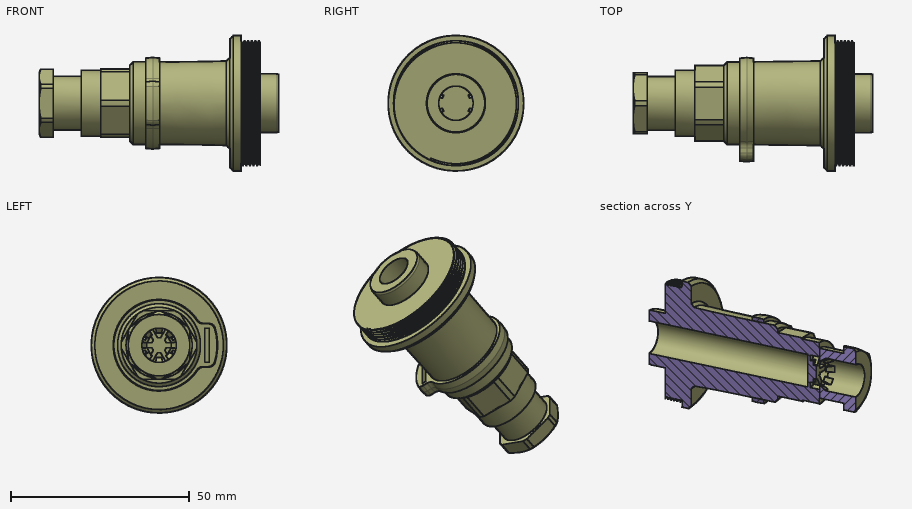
import cadquery as cq
import math

CABLE_BORE_RADIUS = 4.8
WALL_OVERLAP = 0.5
BORE_ROOT_RADIUS = CABLE_BORE_RADIUS + WALL_OVERLAP

NUT_ACROSS_FLATS = 17.16
NUT_CORNER_RADIUS = 9.55
NUT_FACE_RADIUS = 8.6
NUT_CHAMFER_LENGTH = 0.45
NUT_HEAD_END = 3.95
NECK_RADIUS = 7.55
NECK_END = 11.7

JAW_COUNT = 8
JAW_ANGLE = 23.0
JAW_TIP_RADIUS = 3.45
JAW_LENGTH = 2.0

COLLAR_RADIUS = 9.25
COLLAR_END = 17.25
WRENCH_ACROSS_FLATS = 19.15
WRENCH_CORNER_RADIUS = 10.6
WRENCH_END = 25.3
BARREL_RADIUS = 11.6
BARREL_CHAMFER = 1.0
BARREL_WIDE_RADIUS = 11.85
BARREL_END = 52.3
FLANGE_FACE = 53.3
FLANGE_NECK_RADIUS = 12.75
FLANGE_RADIUS = 18.98
FLANGE_CHAMFER = 1.0
FLANGE_END = 56.4
THREAD_END = 61.8
SPIGOT_RADIUS = 8.25
SPIGOT_TIP_RADIUS = 8.05
SPIGOT_TIP_LENGTH = 0.65
TOTAL_LENGTH = 66.97

THREAD_RADIUS = 17.45
THREAD_ROOT_RADIUS = 16.9
THREAD_PITCH = 1.0
THREAD_CREST_WIDTH = 0.15
THREAD_ROOT_WIDTH = 0.75
THREAD_OVERLAP = 0.15

WEB_RECESS = 1.0
WEB_FACE = NECK_END + WEB_RECESS
WEB_THICKNESS = 3.0
WEB_ARM_COUNT = 6
WEB_ARM_HALF_WIDTH = 0.68
POCKET_INNER_APOTHEM = 2.1
POCKET_DEPTH = 1.0
STEP_APOTHEM = 3.3
STEP_DEPTH = 2.0
WINDOW_INNER_RADIUS = 4.1
WINDOW_ANGLE = 10.0
WINDOW_OFFSET_ANGLE = 26.0

RING_START = 29.75
RING_WIDTH = 3.9
RING_END = RING_START + RING_WIDTH
RING_RADIUS = 12.82
RING_DRAFT = 5.5
TAB_RADIUS = 16.38
TAB_HALF_HEIGHT = 6.15
TAB_CORNER_RADIUS = 2.0
STRAP_SLOT_WIDTH = 1.25
STRAP_SLOT_LENGTH = 9.5
STRAP_SLOT_CENTRE = 13.4
STRAP_SLOT_CORNER = 0.2


def plane_at(station):
    """Sketch plane across the axis: local x is +Y, local y is +Z, normal is +X."""
    return cq.Workplane("YZ", origin=(station, 0, 0))


def cylinder(start, end, radius):
    return plane_at(start).circle(radius).extrude(end - start)


def turned(points, angle=360.0):
    """Revolve a closed (station, radius) outline about the X axis."""
    return cq.Workplane("XY").polyline(points).close().revolve(angle, (0, 0, 0), (1, 0, 0))


def about_axis(shape, angle):
    return shape.rotate((0, 0, 0), (1, 0, 0), angle)


def hexagon(start, end, across_flats, first_corner_angle):
    prism = plane_at(start).polygon(6, across_flats / math.cos(math.pi / 6)).extrude(end - start)
    return about_axis(prism, first_corner_angle)


def make_cable_nut():
    head_envelope = turned([
        (0, 0),
        (0, NUT_FACE_RADIUS),
        (NUT_CHAMFER_LENGTH, NUT_CORNER_RADIUS),
        (NUT_HEAD_END, NUT_CORNER_RADIUS),
        (NUT_HEAD_END, 0),
    ])
    head = hexagon(0, NUT_HEAD_END, NUT_ACROSS_FLATS, 30).intersect(head_envelope)
    nut = head.union(cylinder(NUT_HEAD_END, NECK_END, NECK_RADIUS))
    nut = nut.cut(cylinder(0, NECK_END, CABLE_BORE_RADIUS))

    jaw_start = NECK_END - JAW_LENGTH
    jaw = turned([
        (jaw_start, BORE_ROOT_RADIUS),
        (jaw_start, CABLE_BORE_RADIUS),
        (NECK_END, JAW_TIP_RADIUS),
        (NECK_END, BORE_ROOT_RADIUS),
    ], JAW_ANGLE)
    for i in range(JAW_COUNT):
        nut = nut.union(about_axis(jaw, i * 360 / JAW_COUNT - JAW_ANGLE / 2))
    return nut


def make_thread():
    """Helical ridge, trimmed flush with the flange and the end of the threaded length."""
    inner_radius = THREAD_ROOT_RADIUS - THREAD_OVERLAP
    helix_start = FLANGE_END - THREAD_PITCH
    helix_length = THREAD_END - FLANGE_END + 2 * THREAD_PITCH
    helix = cq.Wire.makeHelix(
        THREAD_PITCH, helix_length, THREAD_ROOT_RADIUS, cq.Vector(helix_start, 0, 0), cq.Vector(1, 0, 0)
    )
    start_point = helix.startPoint()
    outward = cq.Vector(0, start_point.y, start_point.z)
    profile_plane = cq.Plane(
        origin=(helix_start, 0, 0), xDir=outward, normal=cq.Vector(1, 0, 0).cross(outward)
    )
    ridge = (
        cq.Workplane(profile_plane)
        .polyline([
            (inner_radius, -THREAD_ROOT_WIDTH / 2),
            (THREAD_RADIUS, -THREAD_CREST_WIDTH / 2),
            (THREAD_RADIUS, THREAD_CREST_WIDTH / 2),
            (inner_radius, THREAD_ROOT_WIDTH / 2),
        ])
        .close()
        .sweep(cq.Workplane(helix), isFrenet=True)
    )
    return ridge.intersect(cylinder(FLANGE_END, THREAD_END, FLANGE_RADIUS))


def web_sector(apothem, depth):
    """Pocket between two neighbouring web arms, starting at the given distance from the axis."""
    def half_width(distance):
        half_pitch = math.pi / WEB_ARM_COUNT
        return distance * math.tan(half_pitch) - WEB_ARM_HALF_WIDTH / math.cos(half_pitch)

    outer = CABLE_BORE_RADIUS
    sector = (
        plane_at(WEB_FACE)
        .polyline([
            (apothem, -half_width(apothem)),
            (outer, -half_width(outer)),
            (outer, half_width(outer)),
            (apothem, half_width(apothem)),
        ])
        .close()
        .extrude(depth)
    )
    return sector.intersect(cylinder(WEB_FACE, WEB_FACE + depth, CABLE_BORE_RADIUS))


def make_web():
    web_back = WEB_FACE + WEB_THICKNESS
    web = cylinder(WEB_FACE, web_back, BORE_ROOT_RADIUS)
    pocket = web_sector(POCKET_INNER_APOTHEM, POCKET_DEPTH)
    pocket = pocket.union(web_sector(STEP_APOTHEM, STEP_DEPTH))
    for i in range(WEB_ARM_COUNT):
        web = web.cut(about_axis(pocket, (i + 0.5) * 360 / WEB_ARM_COUNT))

    window = turned([
        (WEB_FACE, WINDOW_INNER_RADIUS),
        (web_back, WINDOW_INNER_RADIUS),
        (web_back, CABLE_BORE_RADIUS),
        (WEB_FACE, CABLE_BORE_RADIUS),
    ], WINDOW_ANGLE)
    for side in (0, 180):
        for offset in (-WINDOW_OFFSET_ANGLE, WINDOW_OFFSET_ANGLE):
            web = web.cut(about_axis(window, side + offset - WINDOW_ANGLE / 2))
    return web


def make_housing():
    collar = cylinder(NECK_END, COLLAR_END, COLLAR_RADIUS)
    wrench_hexagon = hexagon(COLLAR_END, WRENCH_END, WRENCH_ACROSS_FLATS, 0)
    wrench_hexagon = wrench_hexagon.intersect(cylinder(COLLAR_END, WRENCH_END, WRENCH_CORNER_RADIUS))
    barrel_to_spigot = turned([
        (WRENCH_END, 0),
        (WRENCH_END, BARREL_RADIUS - BARREL_CHAMFER),
        (WRENCH_END + BARREL_CHAMFER, BARREL_RADIUS),
        (RING_END, BARREL_RADIUS),
        (BARREL_END, BARREL_WIDE_RADIUS),
        (FLANGE_FACE, FLANGE_NECK_RADIUS),
        (FLANGE_FACE, FLANGE_RADIUS - FLANGE_CHAMFER),
        (FLANGE_FACE + FLANGE_CHAMFER, FLANGE_RADIUS),
        (FLANGE_END, FLANGE_RADIUS),
        (FLANGE_END, THREAD_ROOT_RADIUS),
        (THREAD_END, THREAD_ROOT_RADIUS),
        (THREAD_END, SPIGOT_RADIUS),
        (TOTAL_LENGTH - SPIGOT_TIP_LENGTH, SPIGOT_RADIUS),
        (TOTAL_LENGTH, SPIGOT_TIP_RADIUS),
        (TOTAL_LENGTH, 0),
    ])
    housing = collar.union(wrench_hexagon).union(barrel_to_spigot)
    housing = housing.cut(cylinder(NECK_END, TOTAL_LENGTH, CABLE_BORE_RADIUS))
    return housing.union(make_web()).union(make_thread())


def ring_outline():
    """Ring circle running through fillets into a round-ended tab on the -Y side."""
    corner = TAB_CORNER_RADIUS
    height = TAB_HALF_HEIGHT

    inner_z = height + corner
    inner_y = math.sqrt((RING_RADIUS + corner) ** 2 - inner_z ** 2)
    outer_z = height - corner
    outer_y = math.sqrt((TAB_RADIUS - corner) ** 2 - outer_z ** 2)
    inner_scale = RING_RADIUS / (RING_RADIUS + corner)
    outer_scale = TAB_RADIUS / (TAB_RADIUS - corner)
    ring_y, ring_z = -inner_y * inner_scale, inner_z * inner_scale
    tip_y, tip_z = -outer_y * outer_scale, outer_z * outer_scale

    return (
        plane_at(RING_START + RING_WIDTH / 2)
        .moveTo(ring_y, ring_z)
        .threePointArc((RING_RADIUS, 0), (ring_y, -ring_z))
        .tangentArcPoint((-inner_y, -height), relative=False)
        .lineTo(-outer_y, -height)
        .tangentArcPoint((tip_y, -tip_z), relative=False)
        .threePointArc((-TAB_RADIUS, 0), (tip_y, tip_z))
        .tangentArcPoint((-outer_y, height), relative=False)
        .lineTo(-inner_y, height)
        .tangentArcPoint((ring_y, ring_z), relative=False)
        .close()
    )


def make_strap_ring():
    """Both halves taper away from the mid-plane of the ring."""
    half_width = RING_WIDTH / 2
    half = ring_outline().extrude(half_width, taper=RING_DRAFT)
    ring = half.union(half.mirror("YZ", (RING_START + half_width, 0, 0)))
    slot = (
        plane_at(RING_START)
        .center(-STRAP_SLOT_CENTRE, 0)
        .rect(STRAP_SLOT_WIDTH, STRAP_SLOT_LENGTH)
        .extrude(RING_WIDTH)
        .edges("|X")
        .fillet(STRAP_SLOT_CORNER)
    )
    return ring.cut(slot).cut(cylinder(RING_START, RING_END, BARREL_RADIUS))


cable_nut = make_cable_nut()
housing = make_housing()
strap_ring = make_strap_ring()

result = cq.Compound.makeCompound([cable_nut.val(), housing.val(), strap_ring.val()])